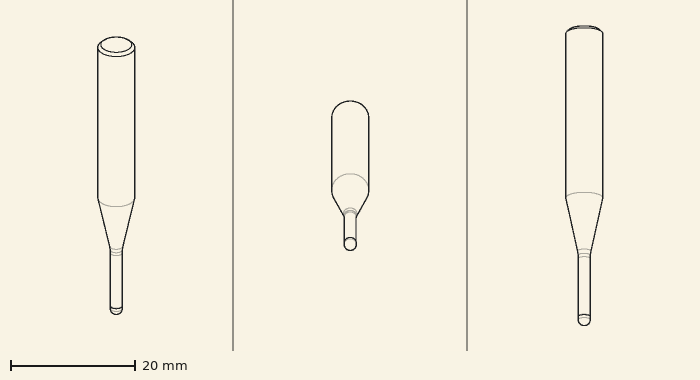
import cadquery as cq
import math

TOTAL_LENGTH = 50.0
SHANK_RADIUS = 3.0
SHANK_CHAMFER = 0.5
SHANK_START = 21.6

BALL_RADIUS = 1.0
CUTTING_LENGTH = 1.5

NECK_RELIEF = 0.03
NECK_RADIUS = BALL_RADIUS - NECK_RELIEF
NECK_STEP = 0.1
NECK_END = 11.35
COLLAR_START = 11.9
COLLAR_RADIUS = 1.0
CONE_START = 12.6
CONE_START_RADIUS = 1.1


def make_cutting_head():
    """Ball nose with a short cylindrical land above it."""
    arc_offset = BALL_RADIUS * math.sqrt(0.5)
    profile = (
        cq.Workplane("XZ")
        .moveTo(0, 0)
        .threePointArc((arc_offset, BALL_RADIUS - arc_offset), (BALL_RADIUS, BALL_RADIUS))
        .lineTo(BALL_RADIUS, CUTTING_LENGTH)
        .lineTo(0, CUTTING_LENGTH)
        .close()
    )
    return profile.revolve(360, (0, 0, 0), (0, 1, 0))


def make_shank():
    """Neck, flared collar, cone and chamfered shank turned as one piece."""
    outline = [
        (0, CUTTING_LENGTH),
        (BALL_RADIUS, CUTTING_LENGTH),
        (NECK_RADIUS, CUTTING_LENGTH + NECK_STEP),
        (NECK_RADIUS, NECK_END),
        (COLLAR_RADIUS, COLLAR_START),
        (CONE_START_RADIUS, CONE_START),
        (SHANK_RADIUS, SHANK_START),
        (SHANK_RADIUS, TOTAL_LENGTH - SHANK_CHAMFER),
        (SHANK_RADIUS - SHANK_CHAMFER, TOTAL_LENGTH),
        (0, TOTAL_LENGTH),
    ]
    profile = cq.Workplane("XZ").polyline(outline).close()
    return profile.revolve(360, (0, 0, 0), (0, 1, 0))


cutting_head = make_cutting_head()
shank = make_shank()

result = cq.Compound.makeCompound([cutting_head.val(), shank.val()])